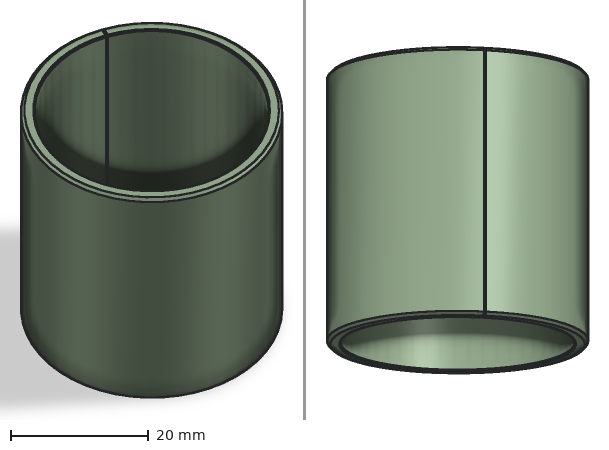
import cadquery as cq

outer_radius = 19.0
wall = 2.0
length = 40.0
outer_chamfer = 0.5
inner_chamfer = 0.2
split_angle = 1.0

inner_radius = outer_radius - wall
half_length = length / 2


def wall_section():
    """Wall cross-section on the -X side, with all four corners chamfered."""
    shoulder_z = half_length - outer_chamfer
    bore_z = half_length - inner_chamfer
    rim_outer = outer_radius - outer_chamfer
    rim_inner = inner_radius + inner_chamfer
    return (
        cq.Workplane("XZ")
        .moveTo(-outer_radius, -shoulder_z)
        .lineTo(-outer_radius, shoulder_z)
        .lineTo(-rim_outer, half_length)
        .lineTo(-rim_inner, half_length)
        .lineTo(-inner_radius, bore_z)
        .lineTo(-inner_radius, -bore_z)
        .lineTo(-rim_inner, -half_length)
        .lineTo(-rim_outer, -half_length)
        .close()
    )


result = wall_section().revolve(360 - split_angle, (0, 0, 0), (0, 1, 0))